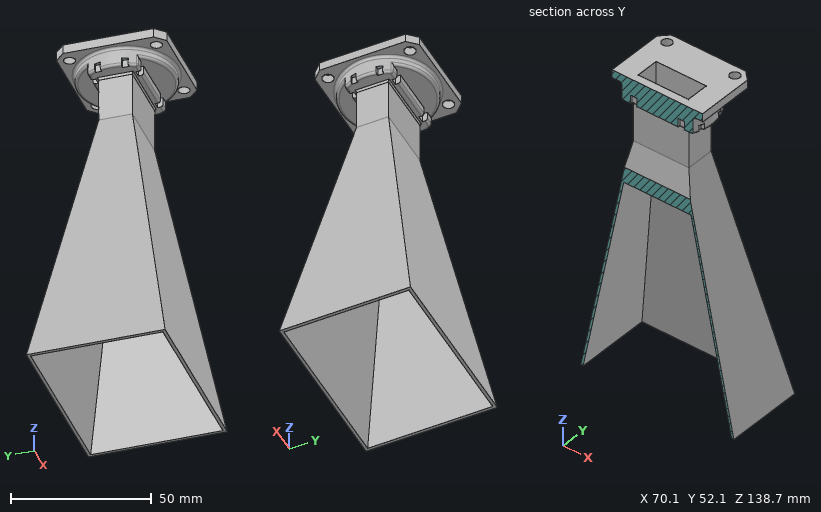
import cadquery as cq

aperture_x = 70.1
aperture_y = 52.07
total_height = 138.68

bore_x = 22.86
bore_y = 10.16
wall = 1.27
tube_x = bore_x + 2 * wall
tube_y = bore_y + 2 * wall
horn_height = 109.5

flange_side = 41.4
flange_thickness = 3.7
flange_corner_chamfer = 3.7
bolt_spacing_x = 31.0
bolt_spacing_y = 32.5
bolt_hole_diameter = 4.3

hub_diameter = 36.83
hub_disc_depth = 3.85
hub_depth = 7.6
bar_width = 19.0
edge_radius = 1.0

slot_depth = 2.0
side_slot_width = 2.75
side_slot_offset = 10.85
end_slot_width = 2.3
end_slot_offset = 5.1
end_slot_height = 3.0

collar_height = 1.0
collar_overhang = 0.35

flange_bottom = total_height - flange_thickness
disc_bottom = flange_bottom - hub_disc_depth
hub_bottom = flange_bottom - hub_depth

tolerance = 0.01


def block(size_x, size_y, bottom, top):
    """Box centred on the Z axis between two heights."""
    return cq.Workplane("XY").workplane(offset=bottom).rect(size_x, size_y).extrude(top - bottom)


def frustum(bottom_size, top_size, bottom, top):
    """Rectangular frustum centred on the Z axis between two heights."""
    return (
        cq.Workplane("XY")
        .workplane(offset=bottom)
        .rect(*bottom_size)
        .workplane(offset=top - bottom)
        .rect(*top_size)
        .loft(ruled=True)
    )


def make_flange():
    """Square plate with cut corners and four bolt holes."""
    plate = block(flange_side, flange_side, flange_bottom, total_height)
    plate = plate.edges("|Z").chamfer(flange_corner_chamfer)
    return (
        plate.faces(">Z")
        .workplane()
        .rect(bolt_spacing_x, bolt_spacing_y, forConstruction=True)
        .vertices()
        .hole(bolt_hole_diameter)
    )


def is_outer_hub_edge(edge):
    """True for the convex edges of the disc and the bar below the flange."""
    center = edge.Center()
    below_disc = center.z < disc_bottom + tolerance
    is_line = edge.geomType() == "LINE"
    inner_corner = is_line and abs(center.z - disc_bottom) < tolerance
    cylinder_seam = is_line and abs(center.y) < tolerance
    return below_disc and not inner_corner and not cylinder_seam


def make_hub():
    """Round hub with a bar left across its lower part, outer edges rounded."""
    hub = cq.Workplane("XY").workplane(offset=hub_bottom).circle(hub_diameter / 2).extrude(hub_depth)
    relief_width = hub_diameter / 2
    relief = block(hub_diameter, relief_width, hub_bottom, disc_bottom)
    for side in (-1, 1):
        hub = hub.cut(relief.translate((0, side * (bar_width + relief_width) / 2, 0)))
    return hub.edges().filter(is_outer_hub_edge).fillet(edge_radius)


def make_slots():
    """Cutters for the bar slots: two in each long side and two in each end."""
    side_slot = block(side_slot_width, 2 * slot_depth, hub_bottom, disc_bottom)
    end_slot = block(2 * slot_depth, end_slot_width, hub_bottom, hub_bottom + end_slot_height)
    slots = cq.Workplane("XY")
    for x_side in (-1, 1):
        for y_side in (-1, 1):
            slots = slots.add(side_slot.translate((x_side * side_slot_offset, y_side * bar_width / 2, 0)))
            slots = slots.add(end_slot.translate((x_side * hub_diameter / 2, y_side * end_slot_offset, 0)))
    return slots.combine()


def is_hub_root_edge(edge):
    """True for the circle where the hub meets the flange."""
    at_flange = abs(edge.Center().z - flange_bottom) < tolerance
    is_circle = edge.geomType() == "CIRCLE"
    return at_flange and is_circle and abs(edge.radius() - hub_diameter / 2) < tolerance


def make_passage():
    """Waveguide bore that flares with the horn at constant wall thickness."""
    mouth_size = (aperture_x - 2 * wall, aperture_y - 2 * wall)
    flare = frustum(mouth_size, (bore_x, bore_y), 0, horn_height)
    return flare.union(block(bore_x, bore_y, horn_height, total_height))


flanged_hub = make_flange().union(make_hub().cut(make_slots()))
flanged_hub = flanged_hub.edges().filter(is_hub_root_edge).fillet(edge_radius)

horn = frustum((aperture_x, aperture_y), (tube_x, tube_y), 0, horn_height)
tube = block(tube_x, tube_y, horn_height, flange_bottom)
collar_size = (tube_x + 2 * collar_overhang, tube_y + 2 * collar_overhang)
collar = frustum((tube_x, tube_y), collar_size, hub_bottom - collar_height, hub_bottom)

result = horn.union(tube).union(collar).union(flanged_hub).cut(make_passage())